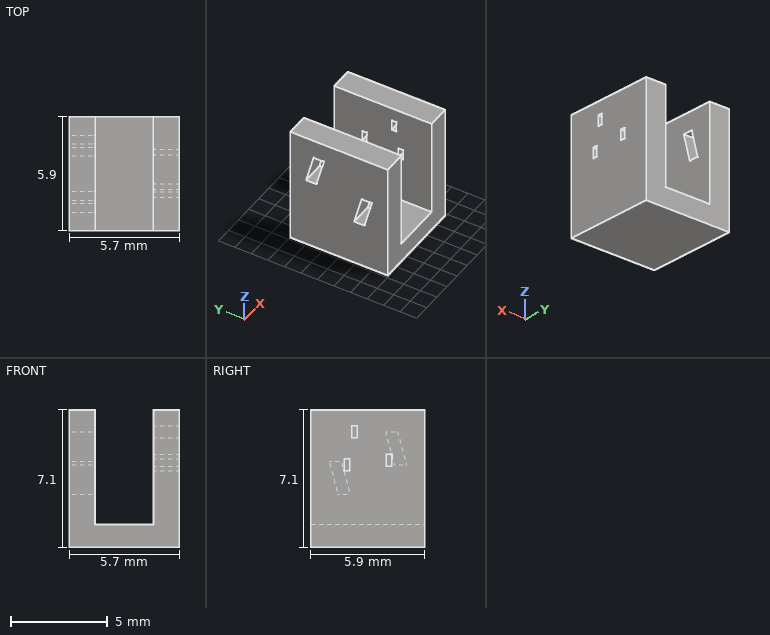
import cadquery as cq

width = 5.7
depth = 5.9
height = 7.1

wall = 1.35
floor = 1.19
channel_width = width - 2 * wall

window_width = 0.625
window_height = 1.7
window_lean = 0.455
window_corners = [(1.995, 4.27), (-0.915, 2.75)]

slot_width = 0.285
slot_height = 0.625
slot_centers = [(-0.675, 5.98), (1.11, 4.5), (-1.08, 4.275)]


def block():
    """Solid block resting on Z = 0."""
    return cq.Workplane("XY").box(width, depth, height, centered=(True, True, False))


def channel():
    """Open-topped cut running the full depth."""
    return cq.Workplane("XY", origin=(0, 0, floor)).box(
        channel_width, 2 * depth, height, centered=(True, True, False)
    )


def slanted_window(corner_y, corner_z):
    """Parallelogram cut through the -X wall, its top shifted toward -Y."""
    top_z = corner_z + window_height
    outline = [
        (corner_y, corner_z),
        (corner_y - window_width, corner_z),
        (corner_y - window_width - window_lean, top_z),
        (corner_y - window_lean, top_z),
    ]
    return cq.Workplane("YZ", origin=(-width / 2, 0, 0)).polyline(outline).close().extrude(wall)


def upright_slots():
    """Rectangular cuts through the +X wall."""
    return (
        cq.Workplane("YZ", origin=(width / 2 - wall, 0, 0))
        .pushPoints(slot_centers)
        .rect(slot_width, slot_height)
        .extrude(wall)
    )


result = block().cut(channel())
for corner_y, corner_z in window_corners:
    result = result.cut(slanted_window(corner_y, corner_z))
result = result.cut(upright_slots())